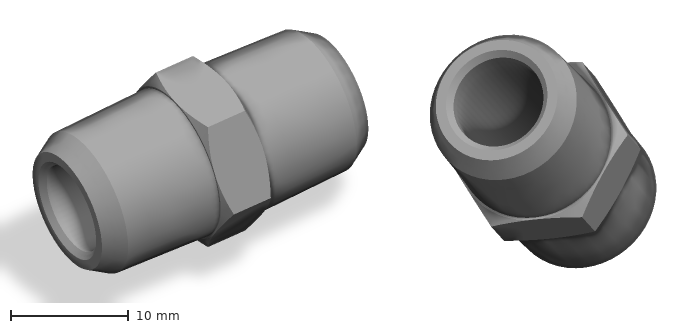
import cadquery as cq
import math

length = 27.0
hex_width = 14.0
hex_thickness = 5.0
hex_corner_diameter = hex_width / math.cos(math.radians(30))
hex_chamfer_angle = 30.0

taper_ratio = 1 / 16
nose_length = 1.92
nose_large_diameter = 13.07
nose_small_diameter = 10.83

bore_diameter = 8.0
bore_mouth_diameter = 9.02
mouth_angle = 45.0

half_length = length / 2
half_hex = hex_thickness / 2
taper_end = half_length - nose_length
root_diameter = nose_large_diameter + taper_ratio * (taper_end - half_hex)


def revolve_profile(points):
    """Turn (radius, Y) points around the Y axis."""
    return cq.Workplane("XY").polyline(points).close().revolve(360, (0, 0, 0), (0, 1, 0))


def mirrored(points):
    """Continue an outline from the +Y half into the -Y half."""
    return points + [(radius, -y) for radius, y in reversed(points)]


def make_body():
    outline = [
        (0, half_length),
        (nose_small_diameter / 2, half_length),
        (nose_large_diameter / 2, taper_end),
        (root_diameter / 2, half_hex),
    ]
    return revolve_profile(mirrored(outline))


def make_hexagon():
    prism = (
        cq.Workplane("XZ")
        .polygon(6, hex_corner_diameter)
        .extrude(half_hex, both=True)
    )
    corner_rise = (hex_corner_diameter - hex_width) / 2
    chamfer_depth = corner_rise * math.tan(math.radians(hex_chamfer_angle))
    outline = [
        (0, half_hex),
        (hex_width / 2, half_hex),
        (hex_corner_diameter / 2, half_hex - chamfer_depth),
    ]
    return prism.intersect(revolve_profile(mirrored(outline)))


def make_bore():
    mouth_depth = (bore_mouth_diameter - bore_diameter) / 2 / math.tan(math.radians(mouth_angle))
    outline = [
        (0, half_length),
        (bore_mouth_diameter / 2, half_length),
        (bore_diameter / 2, half_length - mouth_depth),
    ]
    return revolve_profile(mirrored(outline))


result = make_body().union(make_hexagon()).cut(make_bore())